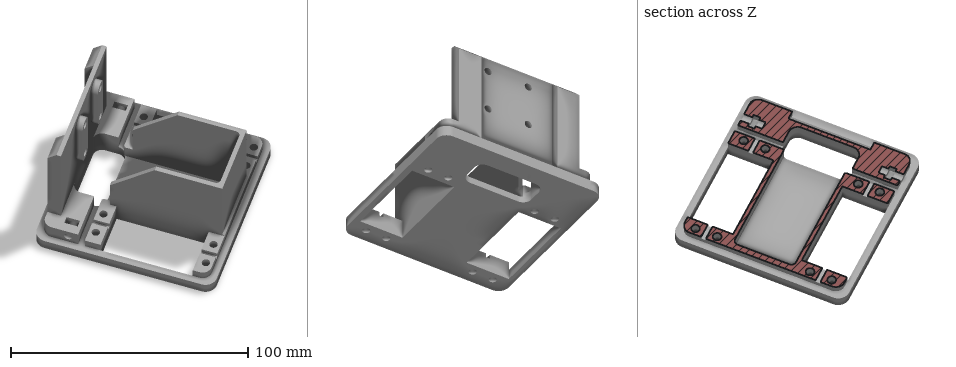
import cadquery as cq

base_size = 80.0
base_thickness = 5.0
base_corner_radius = 5.0
inner_size = 74.0
inner_corner_radius = 4.0
inner_edge = inner_size / 2
screw_hole_diameter = 3.5

wall = 2.0
bin_width = 32.0
bin_end = 36.0
bin_length = 50.0
bin_height = 38.0
bin_front_height = 18.0
bin_slope = bin_height - bin_front_height
bin_corner_radius = 2.0
bin_floor_thickness = 3.0
cavity_width = bin_width - 2 * wall

tab_length = 7.0
tab_height = 4.0
window_length = 41.0
window_end = inner_edge - tab_length
window_start = window_end - window_length
tab_start = window_start - tab_length
window_center_x = window_end - window_length / 2
window_width = inner_edge - bin_width / 2
window_center_y = inner_edge - window_width / 2
tab_hole_setback = 4.0
tab_hole_spacing = 10.0
tab_groove_width = 2.0
tab_groove_depth = 2.0

block_height = 7.0
block_length = 16.0
block_top = base_thickness + block_height
nut_slot_length = 6.0
nut_slot_thickness = 3.0
nut_slot_y = 31.5
side_hole_depth = 10.0
side_hole_x = -25.5

plate_width = 60.0
plate_thickness = 6.0
plate_height = 50.0
plate_chamfer = 4.0
plate_back = plate_thickness - inner_edge
plate_web = 2.0
recess_width = 37.8
recess_ramp = 3.0
plate_hole_spacing = 20.0
plate_hole_center_y = 3.0
plate_hole_center_z = 38.5
rib_width = 7.0
rib_thickness = 3.0

opening_length = 14.0
opening_width = 32.0
opening_radius = 4.0

sides = (-1, 1)


def box(x_start, x_end, y_center, width, z_bottom, z_top):
    """Axis-aligned box."""
    return (
        cq.Workplane("XY", origin=((x_start + x_end) / 2, y_center, z_bottom))
        .box(x_end - x_start, width, z_top - z_bottom, centered=(True, True, False))
    )


def rounded_inner_outline(height):
    """Prism over the inner outline, standing on Z = 0."""
    return (
        box(-inner_edge, inner_edge, 0, inner_size, 0, height)
        .edges("|Z").fillet(inner_corner_radius)
    )


def make_base():
    half = base_size / 2
    body = box(-half, half, 0, base_size, 0, base_thickness).edges("|Z").fillet(base_corner_radius)
    for side in sides:
        body = body.cut(
            box(window_start, window_end, side * window_center_y, window_width, 0, base_thickness)
        )
    return body


def make_block():
    block = box(
        -inner_edge, block_length - inner_edge, 0, inner_size, base_thickness, block_top
    )
    return block.intersect(rounded_inner_outline(block_top))


def make_tabs():
    tab_top = base_thickness + tab_height
    tab_width = inner_edge - cavity_width / 2
    tab_center_y = inner_edge - tab_width / 2
    tabs = box(bin_end, inner_edge, 0, bin_width, base_thickness, tab_top)
    for x_start, x_end in ((tab_start, window_start), (window_end, inner_edge)):
        for side in sides:
            tab = box(x_start, x_end, side * tab_center_y, tab_width, base_thickness, tab_top)
            groove = box(
                x_start, x_end, side * window_center_y, tab_groove_width,
                tab_top - tab_groove_depth, tab_top,
            )
            tabs = tabs.union(tab.cut(groove))
    return tabs.intersect(rounded_inner_outline(tab_top))


def make_bin_gusset():
    """Small 45 degree gusset along the foot of the bin's end wall, on top of the bar."""
    leg = inner_edge - bin_end
    return (
        cq.Workplane("XZ", origin=(bin_end, bin_width / 2, base_thickness + tab_height))
        .polyline([(0, 0), (leg, 0), (0, leg)])
        .close()
        .extrude(bin_width)
    )


def make_bin():
    bin_start = bin_end - bin_length
    return (
        cq.Workplane("XZ", origin=(0, bin_width / 2, base_thickness))
        .moveTo(bin_start, 0)
        .lineTo(bin_end, 0)
        .lineTo(bin_end, bin_height)
        .lineTo(bin_start + bin_slope, bin_height)
        .lineTo(bin_start, bin_front_height)
        .close()
        .extrude(bin_width)
    )


def make_bin_cavity():
    """Cutter from the opening behind the plate to the bin's end wall."""
    return (
        box(tab_start, bin_end - wall, 0, cavity_width, bin_floor_thickness, base_thickness + bin_height)
        .edges("|Z and >X").fillet(bin_corner_radius)
    )


def make_plate():
    plate_top = base_thickness + plate_height
    return (
        box(-inner_edge, plate_back, 0, plate_width, base_thickness, plate_top)
        .edges("<X and >Z").chamfer(plate_chamfer)
    )


def make_recess():
    """Cutter for the middle of the plate's outer face, with a ramp at its foot."""
    web_face = plate_back - plate_web
    plate_top = base_thickness + plate_height
    return (
        cq.Workplane("XZ", origin=(0, recess_width / 2, 0))
        .moveTo(-inner_edge, base_thickness)
        .lineTo(web_face - recess_ramp, base_thickness)
        .lineTo(web_face, base_thickness + recess_ramp)
        .lineTo(web_face, plate_top)
        .lineTo(-inner_edge, plate_top)
        .close()
        .extrude(recess_width)
    )


def plate_hole_columns():
    return [plate_hole_center_y + side * plate_hole_spacing / 2 for side in sides]


def make_plate_ribs():
    """Round-ended ribs on the back of the plate, one along each column of holes."""
    return (
        cq.Workplane("YZ", origin=(plate_back, 0, 0))
        .pushPoints([(y, plate_hole_center_z) for y in plate_hole_columns()])
        .slot2D(plate_hole_spacing + rib_width, rib_width, angle=90)
        .extrude(rib_thickness)
    )


def make_plate_holes():
    return (
        cq.Workplane("YZ", origin=(-inner_edge, 0, 0))
        .pushPoints([
            (y, plate_hole_center_z + side * plate_hole_spacing / 2)
            for y in plate_hole_columns()
            for side in sides
        ])
        .circle(screw_hole_diameter / 2)
        .extrude(plate_thickness + rib_thickness)
    )


def make_tab_holes():
    reach = window_length / 2 + tab_hole_setback
    return (
        cq.Workplane("XY")
        .pushPoints([
            (window_center_x + end * reach, side * window_center_y + row * tab_hole_spacing / 2)
            for end in sides
            for side in sides
            for row in sides
        ])
        .circle(screw_hole_diameter / 2)
        .extrude(base_thickness + tab_height)
    )


def make_side_hole(side):
    """Blind cross hole entering the block from one side, through its nut slot."""
    return (
        cq.Workplane("XZ", origin=(0, side * inner_edge, 0))
        .center(side_hole_x, base_thickness + block_height / 2)
        .circle(screw_hole_diameter / 2)
        .extrude(side * side_hole_depth)
    )


def make_nut_slot(side):
    half = nut_slot_length / 2
    return box(
        side_hole_x - half, side_hole_x + half, side * nut_slot_y, nut_slot_thickness,
        base_thickness, block_top,
    )


def make_opening():
    return (
        box(plate_back, plate_back + opening_length, 0, opening_width, 0, block_top)
        .edges("|Z").fillet(opening_radius)
    )


result = make_base().union(make_block()).union(make_tabs()).union(make_bin()).union(make_bin_gusset())
result = result.cut(make_bin_cavity()).cut(make_opening()).cut(make_tab_holes())
for side in sides:
    result = result.cut(make_side_hole(side)).cut(make_nut_slot(side))
result = result.union(make_plate()).cut(make_recess())
result = result.union(make_plate_ribs()).cut(make_plate_holes())